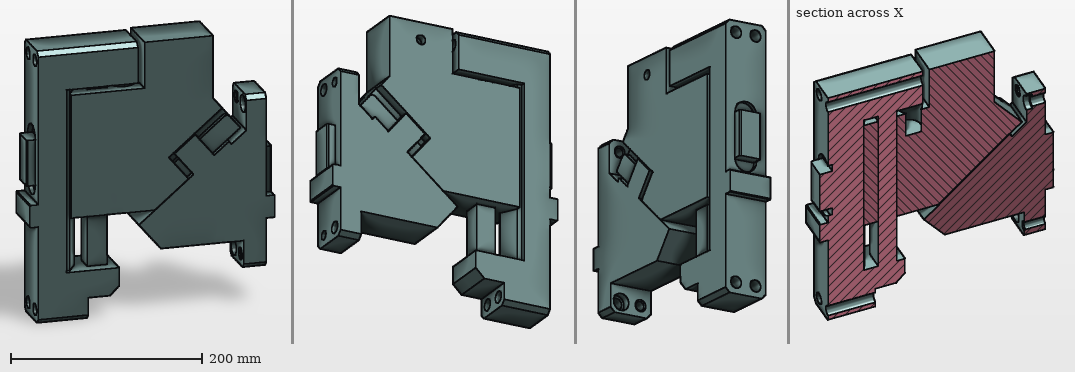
import cadquery as cq
import math

WIDTH = 50.0
HEIGHT = 300.0
BODY_DEPTH = 249.3
PROUD = 9.3
EDGE_CHAMFER = 5.0
KEY_CHAMFER = 1.5
LEDGE_CHAMFER = 1.0

SCREW_DIAMETER = 13.0
SCREW_SPACING = 24.0
SCREW_EDGE_DISTANCE = 12.5
KEY_WIDTH = 25.8
KEY_HEIGHT = 50.5
LEDGE_HEIGHT = 24.5

BASE_WALL = 31.0
UPPER_ARM_LENGTH = 109.0
UPPER_ARM_BOTTOM = 255.5
LOWER_ARM_LENGTH = 88.5
LOWER_ARM_BOTTOM = 24.0
LOWER_ARM_TOP = 54.0
LOWER_ARM_CHAMFER = 10.2
FOOT_LENGTH = 54.5
BASE_KEY_BOTTOM = 149.5
BASE_LEDGE_BOTTOM = 107.5
KEYWAY_WIDTH = 26.7
KEYWAY_DEPTH = 5.0

RAIL_HALF_WIDTH = 19.5
RAIL_TIP_HALF_WIDTH = 1.5
RAIL_TIP = 46.5
BAR_SIZE = 22.0
BAR_FRONT = 57.5

SLIDER_FRONT = 36.0
SLIDER_BOTTOM = 113.7
SLIDER_SHOULDER = 249.3
HEAD_FRONT = 116.0
HEAD_REAR = 191.0
PIN_HOLE_DIAMETER = 10.5
PIN_HOLE_HEIGHT = 280.2
PIN_HOLE_DEPTH = 9.0
DRILL_POINT_ANGLE = 118.0
SPRING_HOLE_DIAMETER = 27.0
SPRING_HOLE_CENTER = 98.0
SPRING_HOLE_DEPTH = 30.0

SLOPE_ANGLE = 40.0
JOINT_Y = 201.0
JOINT_Z = 219.3
TONGUE_LENGTH = 76.2
TONGUE_DROP = 33.5
TONGUE_HEAD_WIDTH = 38.0
TONGUE_NECK_WIDTH = 27.0
TONGUE_NECK_DROP = 11.5
TONGUE_LEAD_RADIUS = 4.8
LIP_START = 39.5
LIP_END = 69.3
LIP_CLEARANCE = 1.2
STEP_ALONG = 18.5
STEP_DROP = 37.8
NOSE_ALONG = 147.0

JAW_TOP = 230.0
JAW_BOTTOM = 39.5
JAW_UPPER_FLANGE = 22.0
JAW_LOWER_FLANGE = 24.5
JAW_BELLY = 70.5
JAW_LEDGE_BOTTOM = 93.0
COUNTERBORE_DIAMETER = 18.5
COUNTERBORE_SEAT = 15.3
THREAD_DIAMETER = 10.0

COS_SLOPE = math.cos(math.radians(SLOPE_ANGLE))
SIN_SLOPE = math.sin(math.radians(SLOPE_ANGLE))


def joint_point(along, drop):
    """(Y, Z) of a point given in the sloping joint directions."""
    y = JOINT_Y - along * COS_SLOPE + drop * SIN_SLOPE
    z = JOINT_Z - along * SIN_SLOPE - drop * COS_SLOPE
    return (y, z)


def along_joint_at_height(z, drop):
    """Distance along the joint at which a line of constant drop reaches height z."""
    return (JOINT_Z - drop * COS_SLOPE - z) / SIN_SLOPE


def drop_at_height(z, along):
    """Drop at which a line square to the joint reaches height z."""
    return (JOINT_Z - along * SIN_SLOPE - z) / COS_SLOPE


def plate(points, width=WIDTH):
    """Extrude a (Y, Z) outline symmetrically about X = 0."""
    return cq.Workplane("YZ").polyline(points).close().extrude(width / 2, both=True)


def box(width, y_min, y_max, z_min, z_max):
    """Box centred on X = 0."""
    size = (width, y_max - y_min, z_max - z_min)
    return cq.Workplane("XY").box(*size, centered=(True, False, False)).translate((0, y_min, z_min))


def corner_chamfers(y_min, y_max, z_edge, inward):
    """Wedges that bevel both long corners of an end face at z_edge."""
    wedges = cq.Workplane("XY")
    for side in (-1, 1):
        corner = side * WIDTH / 2
        wedge = (
            cq.Workplane("XZ", origin=(0, y_min, 0))
            .moveTo(corner, z_edge)
            .lineTo(corner - side * EDGE_CHAMFER, z_edge)
            .lineTo(corner, z_edge + inward * EDGE_CHAMFER)
            .close()
            .extrude(y_min - y_max)
        )
        wedges = wedges.add(wedge)
    return wedges.combine()


def screw_holes(y_min, y_max, z):
    """Pair of screw holes running along Y."""
    return (
        cq.Workplane("XZ", origin=(0, y_min, z))
        .pushPoints([(-SCREW_SPACING / 2, 0), (SCREW_SPACING / 2, 0)])
        .circle(SCREW_DIAMETER / 2)
        .extrude(y_min - y_max)
    )


def key(y_root, y_outer, z_bottom):
    """Locating key whose two upright outer edges are broken."""
    outer_face = "<Y" if y_outer < y_root else ">Y"
    block = box(KEY_WIDTH, min(y_root, y_outer), max(y_root, y_outer), z_bottom, z_bottom + KEY_HEIGHT)
    return block.faces(outer_face).edges("|Z").chamfer(KEY_CHAMFER)


def ledge(y_root, y_outer, z_bottom):
    """Full-width ledge whose two long outer edges are broken."""
    outer_face = "<Y" if y_outer < y_root else ">Y"
    block = box(WIDTH, min(y_root, y_outer), max(y_root, y_outer), z_bottom, z_bottom + LEDGE_HEIGHT)
    return block.faces(outer_face).edges("|X").chamfer(LEDGE_CHAMFER)


def guide_rail():
    """Tapered rail along the inner wall of the base."""
    section = [
        (-RAIL_HALF_WIDTH, BASE_WALL),
        (RAIL_HALF_WIDTH, BASE_WALL),
        (RAIL_HALF_WIDTH, SLIDER_FRONT),
        (RAIL_TIP_HALF_WIDTH, RAIL_TIP),
        (-RAIL_TIP_HALF_WIDTH, RAIL_TIP),
        (-RAIL_HALF_WIDTH, SLIDER_FRONT),
    ]
    return (
        cq.Workplane("XY", origin=(0, 0, LOWER_ARM_TOP))
        .polyline(section)
        .close()
        .extrude(UPPER_ARM_BOTTOM - LOWER_ARM_TOP)
    )


def guide_bar():
    """Square bar between the arms of the base."""
    return box(BAR_SIZE, BAR_FRONT, BAR_FRONT + BAR_SIZE, LOWER_ARM_TOP, UPPER_ARM_BOTTOM)


def keyway():
    """Round-ended recess around the key in the base front face."""
    return (
        cq.Workplane("XZ", origin=(0, 0, BASE_KEY_BOTTOM + KEY_HEIGHT / 2))
        .slot2D(KEY_HEIGHT + KEYWAY_WIDTH, KEYWAY_WIDTH, 90)
        .extrude(-KEYWAY_DEPTH)
    )


def make_base():
    frame = plate([
        (0, 0),
        (FOOT_LENGTH, 0),
        (FOOT_LENGTH, LOWER_ARM_BOTTOM),
        (LOWER_ARM_LENGTH - LOWER_ARM_CHAMFER, LOWER_ARM_BOTTOM),
        (LOWER_ARM_LENGTH, LOWER_ARM_BOTTOM + LOWER_ARM_CHAMFER),
        (LOWER_ARM_LENGTH, LOWER_ARM_TOP),
        (BASE_WALL, LOWER_ARM_TOP),
        (BASE_WALL, UPPER_ARM_BOTTOM),
        (UPPER_ARM_LENGTH, UPPER_ARM_BOTTOM),
        (UPPER_ARM_LENGTH, HEIGHT),
        (0, HEIGHT),
    ])
    return (
        frame.cut(corner_chamfers(0, UPPER_ARM_LENGTH, HEIGHT, -1))
        .cut(corner_chamfers(0, FOOT_LENGTH, 0, 1))
        .cut(screw_holes(0, UPPER_ARM_LENGTH, HEIGHT - SCREW_EDGE_DISTANCE))
        .cut(screw_holes(0, FOOT_LENGTH, SCREW_EDGE_DISTANCE))
        .cut(keyway())
        .union(key(KEYWAY_DEPTH, -PROUD, BASE_KEY_BOTTOM))
        .union(ledge(0, -PROUD, BASE_LEDGE_BOTTOM))
        .union(guide_rail())
        .union(guide_bar())
    )


def make_tongue():
    """T-shaped tongue under the slider, its head rounded at the entry end."""
    head = plate([
        joint_point(0, TONGUE_NECK_DROP),
        joint_point(TONGUE_LENGTH, TONGUE_NECK_DROP),
        joint_point(TONGUE_LENGTH, TONGUE_DROP),
        joint_point(0, TONGUE_DROP),
    ], TONGUE_HEAD_WIDTH)
    head = head.edges("|X").edges(">Z").fillet(TONGUE_LEAD_RADIUS)
    neck = plate([
        joint_point(0, 0),
        joint_point(TONGUE_LENGTH, 0),
        joint_point(TONGUE_LENGTH, TONGUE_DROP),
        joint_point(0, TONGUE_DROP),
    ], TONGUE_NECK_WIDTH)
    return head.union(neck)


def pin_hole():
    """Blind drilled hole in the -X side of the slider head."""
    radius = PIN_HOLE_DIAMETER / 2
    point_length = radius / math.tan(math.radians(DRILL_POINT_ANGLE / 2))
    outline = [
        (0, 0),
        (0, radius),
        (PIN_HOLE_DEPTH, radius),
        (PIN_HOLE_DEPTH + point_length, 0),
    ]
    drill = cq.Workplane("XY").polyline(outline).close().revolve(360, (0, 0, 0), (1, 0, 0))
    return drill.translate((-WIDTH / 2, (HEAD_FRONT + HEAD_REAR) / 2, PIN_HOLE_HEIGHT))


def spring_hole():
    """Blind upright hole in the slider shoulder."""
    return (
        cq.Workplane("XY", origin=(0, SPRING_HOLE_CENTER, SLIDER_SHOULDER))
        .circle(SPRING_HOLE_DIAMETER / 2)
        .extrude(-SPRING_HOLE_DEPTH)
    )


def make_slider():
    head_rear_drop = (HEAD_REAR - JOINT_Y) / SIN_SLOPE
    bottom_along = along_joint_at_height(SLIDER_BOTTOM, TONGUE_DROP)
    block = plate([
        (SLIDER_FRONT, SLIDER_BOTTOM),
        joint_point(bottom_along, TONGUE_DROP),
        joint_point(TONGUE_LENGTH, TONGUE_DROP),
        joint_point(TONGUE_LENGTH, 0),
        joint_point(0, 0),
        joint_point(0, head_rear_drop),
        (HEAD_REAR, HEIGHT),
        (HEAD_FRONT, HEIGHT),
        (HEAD_FRONT, SLIDER_SHOULDER),
        (SLIDER_FRONT, SLIDER_SHOULDER),
    ])
    return (
        block.union(make_tongue())
        .cut(guide_rail())
        .cut(guide_bar())
        .cut(pin_hole())
        .cut(spring_hole())
    )


def flange_holes(y_front, y_rear, z, counterbored_side):
    """Counterbored hole on one side (+1 or -1 in X), countersunk tapped hole on the other."""
    length = y_rear - y_front
    counterbore_depth = length - COUNTERBORE_SEAT
    countersink_depth = (SCREW_DIAMETER - THREAD_DIAMETER) / 2
    counterbored_x = counterbored_side * SCREW_SPACING / 2
    face = cq.Workplane("XZ", origin=(0, y_front, z))
    clearance = face.center(counterbored_x, 0).circle(SCREW_DIAMETER / 2).extrude(-length)
    counterbore = face.center(counterbored_x, 0).circle(COUNTERBORE_DIAMETER / 2).extrude(-counterbore_depth)
    thread = face.center(-counterbored_x, 0).circle(THREAD_DIAMETER / 2).extrude(-length)
    countersink = (
        face.center(-counterbored_x, 0)
        .circle(SCREW_DIAMETER / 2)
        .workplane(offset=-countersink_depth)
        .circle(THREAD_DIAMETER / 2)
        .loft()
    )
    return clearance.union(counterbore).add(thread.union(countersink)).combine()


def make_jaw():
    upper_flange_y = BODY_DEPTH - JAW_UPPER_FLANGE
    lower_flange_y = BODY_DEPTH - JAW_LOWER_FLANGE
    flange_along = (JOINT_Y + STEP_DROP * SIN_SLOPE - upper_flange_y) / COS_SLOPE
    belly_drop = drop_at_height(JAW_BELLY, NOSE_ALONG)
    block = plate([
        (BODY_DEPTH, JAW_BOTTOM),
        (BODY_DEPTH, JAW_TOP),
        (upper_flange_y, JAW_TOP),
        joint_point(flange_along, STEP_DROP),
        joint_point(STEP_ALONG, STEP_DROP),
        joint_point(STEP_ALONG, TONGUE_DROP),
        joint_point(LIP_START, TONGUE_DROP),
        joint_point(LIP_START, LIP_CLEARANCE),
        joint_point(LIP_END, LIP_CLEARANCE),
        joint_point(LIP_END, TONGUE_DROP),
        joint_point(NOSE_ALONG, TONGUE_DROP),
        joint_point(NOSE_ALONG, belly_drop),
        (lower_flange_y, JAW_BELLY),
        (lower_flange_y, JAW_BOTTOM),
    ])
    return (
        block.cut(make_tongue())
        .cut(corner_chamfers(upper_flange_y, BODY_DEPTH, JAW_TOP, -1))
        .cut(corner_chamfers(lower_flange_y, BODY_DEPTH, JAW_BOTTOM, 1))
        .cut(flange_holes(upper_flange_y, BODY_DEPTH, JAW_TOP - SCREW_EDGE_DISTANCE, 1))
        .cut(flange_holes(lower_flange_y, BODY_DEPTH, JAW_BOTTOM + SCREW_EDGE_DISTANCE, -1))
        .union(key(BODY_DEPTH, BODY_DEPTH + PROUD, JAW_LEDGE_BOTTOM + LEDGE_HEIGHT))
        .union(ledge(BODY_DEPTH, BODY_DEPTH + PROUD, JAW_LEDGE_BOTTOM))
    )


base = make_base()
slider = make_slider()
jaw = make_jaw()
result = cq.Compound.makeCompound([base.solids().val(), slider.solids().val(), jaw.solids().val()])